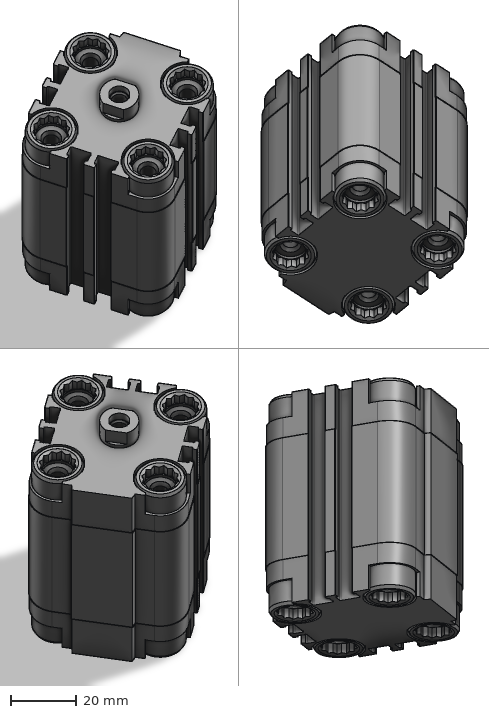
import cadquery as cq
import math

total_height = 75.5
rod_protrusion = 6.05
housing_height = total_height - rod_protrusion
cap_height = 14.65
cap_inset = 0.205

side = 50.0
half_side = side / 2
screw_pitch = 32.0
screw_offset = screw_pitch / 2
corner_radius = half_side - screw_offset

rib_height = 2.05
rib_top_half_width = 9.6
rib_base_half_width = 10.1

slot_offset = 4.5
slot_depth = 5.05
slot_width = 6.9
mouth_width = 5.35
lip_thickness = 1.7
slot_corner_radius = 0.3
lip_rounding = 0.2

head_diameter = 16.0
head_radius = head_diameter / 2
head_height = 8.0
head_chamfer_height = 1.05
head_chamfer_width = 0.6
head_gap = 0.2
notch_side = 12.0
socket_diameter = 12.7
socket_cone_angle = 30.0
hexagon_turn = 30.0
socket_across_flats = 9.9
socket_depth = 3.8
relief_diameter = 10.1
socket_floor_depth = 4.8
bore_mouth_diameter = 6.4
bore_diameter = 4.9
bore_cone_depth = 1.3

rod_diameter = 12.0
rod_across_flats = 10.0
rod_flat_length = 4.75
rod_counterbore_diameter = 6.4
rod_counterbore_depth = 2.65
rod_thread_diameter = 6.0
rod_hole_diameter = 4.9
rod_hole_depth = 13.6
rod_thread_cone_depth = 0.6
drill_point_half_angle = 59.0
rod_bottom = housing_height - cap_height
rod_length = total_height - rod_bottom

slotted_face_turns = (0, 90, -90)


def slot_cutter(length, inset):
    """One T-slot of the -Y face, centred on X = 0; only its lip roundings follow the inset face."""
    floor_y = -half_side + slot_depth
    lip_back_y = -half_side + lip_thickness
    cavity_depth = floor_y - lip_back_y
    cavity_centre_y = (floor_y + lip_back_y) / 2
    cavity = (
        cq.Workplane("XY")
        .center(0, cavity_centre_y)
        .rect(slot_width, cavity_depth)
        .extrude(length)
        .edges("|Z")
        .fillet(slot_corner_radius)
    )
    mouth_half = mouth_width / 2
    face_y = -half_side + inset
    flared_half = mouth_half + lip_rounding
    outside_y = -half_side - lip_thickness
    mouth = (
        cq.Workplane("XY")
        .moveTo(-flared_half, outside_y)
        .lineTo(flared_half, outside_y)
        .lineTo(flared_half, face_y)
        .radiusArc((mouth_half, face_y + lip_rounding), -lip_rounding)
        .lineTo(mouth_half, cavity_centre_y)
        .lineTo(-mouth_half, cavity_centre_y)
        .lineTo(-mouth_half, face_y + lip_rounding)
        .radiusArc((-flared_half, face_y), -lip_rounding)
        .close()
        .extrude(length)
    )
    return cavity.union(mouth)


def profile_block(bottom_z, length, inset):
    """A length of the slotted profile with its outer faces moved inwards by the inset."""
    block = (
        cq.Workplane("XY")
        .rect(side - 2 * inset, side - 2 * inset)
        .extrude(length)
        .edges("|Z")
        .fillet(corner_radius - inset)
    )
    rib_top_y = half_side + rib_height - inset
    rib = (
        cq.Workplane("XY")
        .polyline([
            (-rib_base_half_width + inset, half_side - inset),
            (-rib_top_half_width + inset, rib_top_y),
            (rib_top_half_width - inset, rib_top_y),
            (rib_base_half_width - inset, half_side - inset),
            (0, 0),
        ])
        .close()
        .extrude(length)
    )
    block = block.union(rib)
    slot = slot_cutter(length, inset)
    for turn in slotted_face_turns:
        for offset in (-slot_offset, slot_offset):
            block = block.cut(slot.translate((offset, 0, 0)).rotate((0, 0, 0), (0, 0, 1), turn))
    return block.translate((0, 0, bottom_z))


def revolved(points):
    """Solid of revolution about Z from (radius, z) points."""
    return cq.Workplane("XZ").polyline(points).close().revolve(360, (0, 0, 0), (0, 1, 0))


def screw_head_surround():
    """Material removed around one screw head whose end face is at Z = 0 and whose outer corner is +X +Y."""
    notch_centre = half_side - screw_offset - notch_side / 2
    notch = (
        cq.Workplane("XY")
        .center(notch_centre, notch_centre)
        .rect(notch_side, notch_side)
        .extrude(-head_height)
        .union(cq.Workplane("XY").circle(head_radius + head_gap).extrude(-head_height))
        .cut(cq.Workplane("XY").circle(head_radius).extrude(-head_height))
    )
    chamfer_ring = revolved([
        (head_radius - head_chamfer_width, 0),
        (head_radius, 0),
        (head_radius, -head_chamfer_height),
    ])
    return notch.union(chamfer_ring)


def screw_socket():
    """Twelve-point socket below Z = 0, with a lead-in cone, a round relief and a tapered bore mouth."""
    hexagon_diameter = socket_across_flats / math.cos(math.radians(hexagon_turn))
    hexagon = cq.Workplane("XY").polygon(6, hexagon_diameter).extrude(-socket_depth)
    socket = hexagon.union(hexagon.rotate((0, 0, 0), (0, 0, 1), hexagon_turn))
    rim_radius = socket_diameter / 2
    relief_radius = relief_diameter / 2
    cone_end_radius = socket_across_flats / 2
    cone_depth = (rim_radius - cone_end_radius) * math.tan(math.radians(socket_cone_angle))
    round_part = revolved([
        (0, 0),
        (rim_radius, 0),
        (cone_end_radius, -cone_depth),
        (cone_end_radius, -socket_depth),
        (relief_radius, -socket_depth),
        (relief_radius, -socket_floor_depth),
        (bore_mouth_diameter / 2, -socket_floor_depth),
        (bore_diameter / 2, -socket_floor_depth - bore_cone_depth),
        (0, -socket_floor_depth - bore_cone_depth),
    ])
    return socket.union(round_part)


def end_cutter():
    """All four corner features of the top end."""
    corner = screw_head_surround().union(screw_socket())
    placed = corner.translate((screw_offset, screw_offset, housing_height))
    cutter = placed
    for turn in (90, 180, 270):
        cutter = cutter.union(placed.rotate((0, 0, 0), (0, 0, 1), turn))
    return cutter


def make_housing():
    """Slotted barrel with two slimmer ends, alike at both ends, and a recess for the rod."""
    barrel_height = housing_height - 2 * cap_height
    housing = (
        profile_block(cap_height, barrel_height, 0)
        .union(profile_block(0, cap_height, cap_inset))
        .union(profile_block(housing_height - cap_height, cap_height, cap_inset))
    )
    top_cutter = end_cutter()
    bottom_cutter = top_cutter.mirror("XY", (0, 0, housing_height / 2))
    through_bores = (
        cq.Workplane("XY").rect(screw_pitch, screw_pitch, forConstruction=True).vertices()
        .circle(bore_diameter / 2).extrude(housing_height)
    )
    rod_recess = cq.Workplane("XY", (0, 0, rod_bottom)).circle(rod_diameter / 2).extrude(rod_length)
    return housing.cut(top_cutter).cut(bottom_cutter).cut(through_bores).cut(rod_recess)


def rod_hole():
    """Blind counterbored hole along the rod, open at Z = 0, with a drill point at the bottom."""
    hole_radius = rod_hole_diameter / 2
    point_depth = hole_radius / math.tan(math.radians(drill_point_half_angle))
    return revolved([
        (0, 0),
        (rod_counterbore_diameter / 2, 0),
        (rod_counterbore_diameter / 2, -rod_counterbore_depth),
        (rod_thread_diameter / 2, -rod_counterbore_depth),
        (hole_radius, -rod_counterbore_depth - rod_thread_cone_depth),
        (hole_radius, -rod_hole_depth),
        (0, -rod_hole_depth - point_depth),
    ])


def make_rod():
    """Round rod with two wrench flats facing -Y and +Y at its free end."""
    shank_length = rod_length - rod_flat_length
    shank = cq.Workplane("XY", (0, 0, rod_bottom)).circle(rod_diameter / 2).extrude(shank_length)
    flatted_end = (
        shank.faces(">Z").workplane().circle(rod_diameter / 2).extrude(rod_flat_length, combine=False)
        .intersect(cq.Workplane("XY").box(rod_diameter, rod_across_flats, 2 * total_height))
    )
    return shank.union(flatted_end).cut(rod_hole().translate((0, 0, total_height)))


housing = make_housing()
piston_rod = make_rod()
result = cq.Compound.makeCompound([*housing.solids().vals(), *piston_rod.solids().vals()])